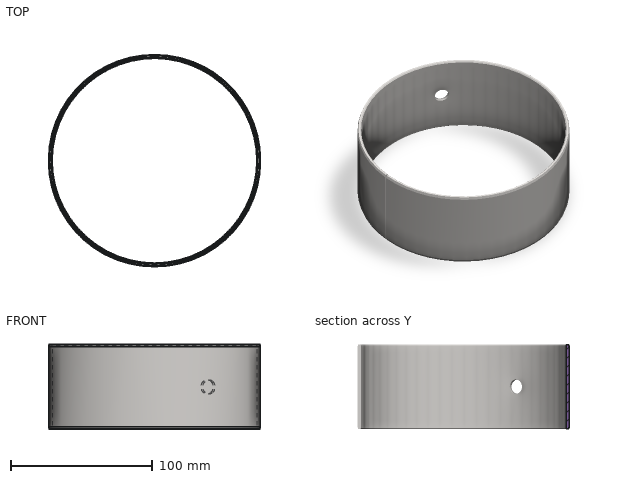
import cadquery as cq

outer_radius = 75.0
height = 60.0
wall = 2.5
inner_radius = outer_radius - wall

outer_taper_width = 0.6
outer_taper_height = 1.8
inner_chamfer = 0.8

slit_width = 1.0
hole_diameter = 10.0
hole_angle = 59.2

half_height = height / 2


def make_band():
    """Revolve the wall section, with both rims tapered outside and chamfered inside."""
    rim_outer = outer_radius - outer_taper_width
    rim_inner = inner_radius + inner_chamfer
    taper_z = half_height - outer_taper_height
    chamfer_z = half_height - inner_chamfer
    section = [
        (outer_radius, -taper_z),
        (outer_radius, taper_z),
        (rim_outer, half_height),
        (rim_inner, half_height),
        (inner_radius, chamfer_z),
        (inner_radius, -chamfer_z),
        (rim_inner, -half_height),
        (rim_outer, -half_height),
    ]
    return cq.Workplane("XZ").polyline(section).close().revolve(360, (0, 0), (0, 1))


def make_slit():
    """Full-height cutter through the wall on the -X side, with one face on the XZ plane."""
    slit_depth = 4 * wall
    return cq.Workplane("XY").box(slit_depth, slit_width, height).translate((-outer_radius, slit_width / 2, 0))


def make_hole():
    """Radial cylinder running from the axis out through the wall at mid height."""
    drill = cq.Workplane("YZ").circle(hole_diameter / 2).extrude(outer_radius + wall)
    return drill.rotate((0, 0, 0), (0, 0, 1), hole_angle)


result = make_band().cut(make_slit()).cut(make_hole())